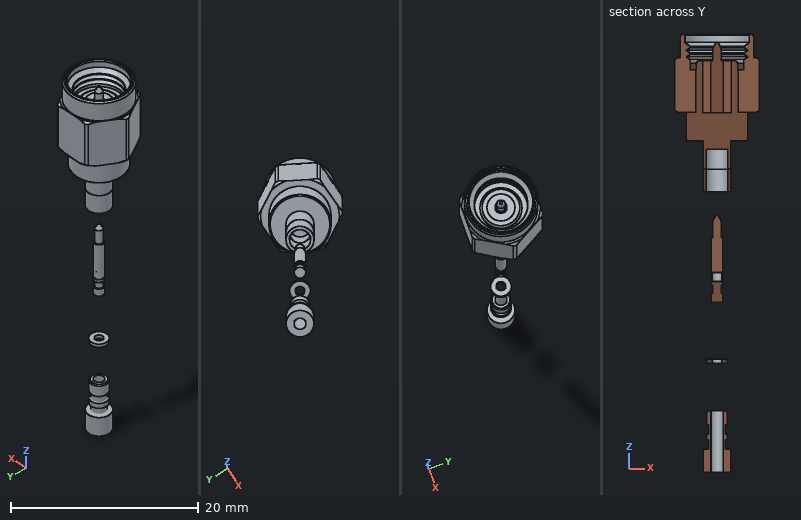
import cadquery as cq
import math

NUT_TOP = 46.8
HEX_TOP = 44.3
HEX_BOTTOM = 38.4
BARREL_BOTTOM = 35.4
TUBE_SPLIT = 32.4
TUBE_BOTTOM = 29.95

HEX_FLATS = 8.0
HEX_CORNERS = 9.05
HEX_CHAMFER_DIA = 8.4
HEX_CHAMFER_ANGLE = 30.0
COLLAR_DIA = 7.85
COLLAR_CHAMFER = 0.2
MOUTH_DIA = 6.85
MOUTH_BOTTOM = 45.9
MOUTH_CHAMFER = 0.15
THREAD_MINOR_DIA = 5.7
THREAD_MAJOR_DIA = 6.5
THREAD_PITCH = 0.7
THREAD_COUNT = 3
THREAD_FIRST_CREST = 45.5
THREAD_CREST_WIDTH = 0.15

NOSE_TOP = 44.0
NOSE_DIA = 4.5
NOSE_CHAMFER = 0.25
BARREL_DIA = 6.65
BARREL_CHAMFER = 0.15
TUBE_DIA = 3.0
GASKET_TOP = 43.7
GASKET_BOTTOM = 43.0
DIELECTRIC_DIA = 3.0

PIN_DIA = 1.25
TIP_DIA = 0.95
TIP_END_DIA = 0.3
TIP_CONE = 0.6
PIN_TOP = 45.9

CONTACT_TOP = 27.45
CONTACT_SHOULDER = 25.1
CONTACT_BOTTOM = 20.4
CONTACT_BORE_DIA = 1.0
CONTACT_BORE_DEPTH = 0.95
SOLDER_HOLE_DIA = 0.4
SOLDER_HOLE_Z = 20.45
STUD_TOP_DIA = 1.2
STUD_CONE_BOTTOM = 20.0
STUD_NECK_DIA = 1.0
STUD_HEAD_TOP = 19.15
STUD_BOTTOM = 18.15

RING_TOP = 12.1
RING_BOTTOM = 11.65
RING_DIA = 2.25
RING_HOLE_DIA = STUD_NECK_DIA

SLEEVE_TOP = 6.6
SLEEVE_DIA = 2.2
SLEEVE_CHAMFER = 0.15
SLEEVE_BORE_DIA = 1.25
SLEEVE_NECK_DIA = 1.8
NECK_FILLET = 0.1
GROOVE_TOP = 5.05
GROOVE_BOTTOM = 4.1
NECK_TOP = 3.45
FLANGE_TOP = 2.55
FLANGE_DIA = TUBE_DIA

SOCKET_DIA = RING_DIA
SOCKET_TOP = TUBE_BOTTOM + (SLEEVE_TOP - FLANGE_TOP) + (RING_TOP - RING_BOTTOM)


def cylinder(diameter, bottom, top):
    return cq.Workplane("XY").workplane(offset=bottom).circle(diameter / 2).extrude(top - bottom)


def revolved(profile):
    """Solid of revolution about Z from a closed (radius, height) outline."""
    return cq.Workplane("XZ").polyline(profile).close().revolve(360, (0, 0, 0), (0, 1, 0))


def hollow_cylinder(outer_diameter, inner_diameter, bottom, top):
    return cylinder(outer_diameter, bottom, top).cut(cylinder(inner_diameter, bottom, top))


def cone(bottom_diameter, top_diameter, bottom, top):
    return revolved([(0, bottom), (bottom_diameter / 2, bottom), (top_diameter / 2, top), (0, top)])


def chamfered_hex():
    """Hexagon with flats facing Y, corners turned round and a conical chamfer at both ends."""
    slope = math.tan(math.radians(HEX_CHAMFER_ANGLE))
    drop = (HEX_CORNERS - HEX_CHAMFER_DIA) / 2 * slope
    hexagon = (
        cq.Workplane("XY").workplane(offset=HEX_BOTTOM)
        .transformed(rotate=(0, 0, 30))
        .polygon(6, HEX_FLATS, circumscribed=True)
        .extrude(HEX_TOP - HEX_BOTTOM)
    )
    envelope = (
        cylinder(HEX_CORNERS, HEX_BOTTOM + drop, HEX_TOP - drop)
        .union(cone(HEX_CORNERS, HEX_CHAMFER_DIA, HEX_TOP - drop, HEX_TOP))
        .union(cone(HEX_CHAMFER_DIA, HEX_CORNERS, HEX_BOTTOM, HEX_BOTTOM + drop))
    )
    return hexagon.intersect(envelope)


def threaded_bore():
    """Bore of V-shaped thread rings below the wider mouth."""
    minor_radius = THREAD_MINOR_DIA / 2
    major_radius = THREAD_MAJOR_DIA / 2
    flank_rise = (THREAD_PITCH - THREAD_CREST_WIDTH) / 2
    profile = [(0, GASKET_BOTTOM), (minor_radius, GASKET_BOTTOM)]
    for ring_number in reversed(range(THREAD_COUNT)):
        crest_top = THREAD_FIRST_CREST - ring_number * THREAD_PITCH
        profile += [
            (minor_radius, crest_top - THREAD_CREST_WIDTH),
            (minor_radius, crest_top),
            (major_radius, crest_top + flank_rise),
        ]
    profile += [
        (MOUTH_DIA / 2, MOUTH_BOTTOM),
        (MOUTH_DIA / 2, NUT_TOP - MOUTH_CHAMFER),
        (MOUTH_DIA / 2 + MOUTH_CHAMFER, NUT_TOP),
        (0, NUT_TOP),
    ]
    return revolved(profile)


def make_nut():
    collar = cylinder(COLLAR_DIA, HEX_TOP, NUT_TOP).faces(">Z").edges().chamfer(COLLAR_CHAMFER)
    nut = chamfered_hex().union(collar)
    return nut.cut(threaded_bore()).cut(cylinder(NOSE_DIA, HEX_BOTTOM, GASKET_BOTTOM))


def make_body():
    nose = cylinder(NOSE_DIA, HEX_BOTTOM, NOSE_TOP).faces(">Z").edges().chamfer(NOSE_CHAMFER)
    barrel = cylinder(BARREL_DIA, BARREL_BOTTOM, HEX_BOTTOM)
    barrel = barrel.faces("<Z").edges().chamfer(BARREL_CHAMFER)
    tube = cylinder(TUBE_DIA, TUBE_SPLIT, BARREL_BOTTOM)
    bore = cylinder(DIELECTRIC_DIA, HEX_BOTTOM, NOSE_TOP)
    socket = cylinder(SOCKET_DIA, TUBE_SPLIT, SOCKET_TOP)
    return nose.union(barrel).union(tube).cut(bore).cut(socket)


def make_gasket():
    return hollow_cylinder(THREAD_MINOR_DIA, NOSE_DIA, GASKET_BOTTOM, GASKET_TOP)


def make_dielectric():
    return hollow_cylinder(DIELECTRIC_DIA, PIN_DIA, HEX_BOTTOM, NOSE_TOP)


def make_tube():
    return hollow_cylinder(TUBE_DIA, SOCKET_DIA, TUBE_BOTTOM, TUBE_SPLIT)


def tipped_pin(bottom, shoulder, top):
    """Round pin with a thinner tip that ends in a truncated cone."""
    shaft = cylinder(PIN_DIA, bottom, shoulder)
    tip = cylinder(TIP_DIA, shoulder, top - TIP_CONE)
    return shaft.union(tip).union(cone(TIP_DIA, TIP_END_DIA, top - TIP_CONE, top))


def make_centre_pin():
    return tipped_pin(HEX_BOTTOM, NOSE_TOP, PIN_TOP)


def make_contact():
    """Loose contact with a blind bore and a solder hole in the -Y wall, open at the bottom edge."""
    bore = cylinder(CONTACT_BORE_DIA, CONTACT_BOTTOM, CONTACT_BOTTOM + CONTACT_BORE_DEPTH)
    solder_hole = (
        cq.Workplane("XZ").center(0, SOLDER_HOLE_Z).circle(SOLDER_HOLE_DIA / 2).extrude(PIN_DIA)
    )
    return tipped_pin(CONTACT_BOTTOM, CONTACT_SHOULDER, CONTACT_TOP).cut(bore).cut(solder_hole)


def make_stud():
    head = cylinder(PIN_DIA, STUD_BOTTOM, STUD_HEAD_TOP)
    neck = cylinder(STUD_NECK_DIA, STUD_HEAD_TOP, STUD_CONE_BOTTOM)
    return head.union(neck).union(cone(PIN_DIA, STUD_TOP_DIA, STUD_CONE_BOTTOM, CONTACT_BOTTOM))


def make_ring():
    return hollow_cylinder(RING_DIA, RING_HOLE_DIA, RING_BOTTOM, RING_TOP)


def make_sleeve():
    head = cylinder(SLEEVE_DIA, GROOVE_TOP, SLEEVE_TOP).faces(">Z").edges().chamfer(SLEEVE_CHAMFER)
    neck = cylinder(SLEEVE_NECK_DIA, FLANGE_TOP, GROOVE_TOP)
    collar = cylinder(SLEEVE_DIA, NECK_TOP, GROOVE_BOTTOM)
    flange = cylinder(FLANGE_DIA, 0, FLANGE_TOP)
    bore = cylinder(SLEEVE_BORE_DIA, 0, SLEEVE_TOP)
    sleeve = head.union(neck).union(collar).union(flange)
    reach = (SLEEVE_NECK_DIA + SLEEVE_DIA) / 4
    for corner in (FLANGE_TOP, GROOVE_BOTTOM, GROOVE_TOP):
        neck_edge = cq.selectors.BoxSelector(
            (-reach, -reach, corner - NECK_FILLET),
            (reach, reach, corner + NECK_FILLET),
            boundingbox=True,
        )
        sleeve = sleeve.edges(neck_edge).fillet(NECK_FILLET)
    return sleeve.cut(bore)


nut = make_nut()
body = make_body()
gasket = make_gasket()
dielectric = make_dielectric()
centre_pin = make_centre_pin()
tube = make_tube()
contact = make_contact()
stud = make_stud()
ring = make_ring()
sleeve = make_sleeve()

result = cq.Compound.makeCompound([
    nut.val(),
    body.val(),
    gasket.val(),
    dielectric.val(),
    centre_pin.val(),
    tube.val(),
    contact.val(),
    stud.val(),
    ring.val(),
    sleeve.val(),
])